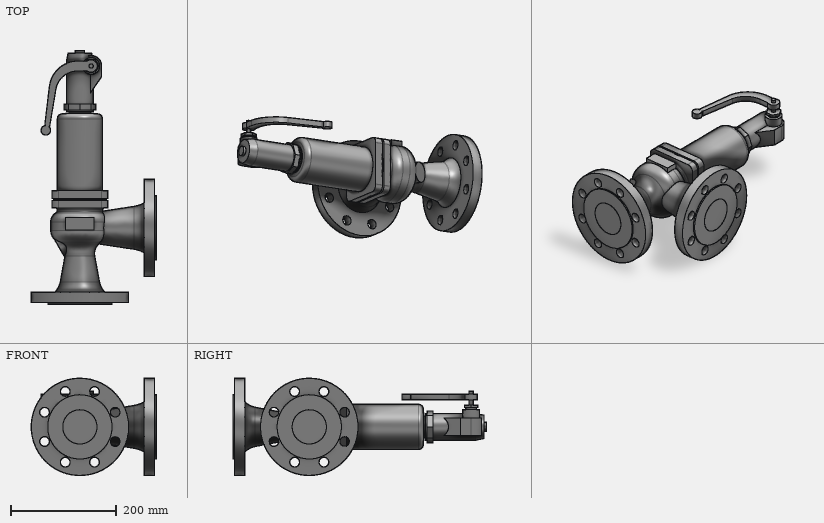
import cadquery as cq
import math


FACE_DISTANCE = 145.0
FLANGE_RADIUS = 92.5
FLANGE_THICKNESS = 20.0
RAISED_FACE_RADIUS = 61.0
RAISED_FACE_HEIGHT = 3.0
BOLT_COUNT = 8
BOLT_CIRCLE_RADIUS = 72.5
BOLT_HOLE_RADIUS = 9.0
FLANGE_BACK = FACE_DISTANCE - RAISED_FACE_HEIGHT - FLANGE_THICKNESS
PORT_RADIUS = 32.5
PORT_STEP = 0.2

FLARE_LENGTH = 19.5
FLARE_RADIUS = 47.5
FLARE_START = FLANGE_BACK - FLARE_LENGTH
INLET_CONE_ANGLE = math.radians(10.4)
THROAT_RADIUS = 28.0
THROAT_POSITION = 49.0
OUTLET_FLARE_START_RADIUS = 40.8
OUTLET_ROOT_RADIUS = 25.3

BODY_RADIUS = 55.5
BODY_BAND_TOP = 11.0
BODY_BAND_BOTTOM = -4.6
BODY_TOP = 28.5
BODY_SHOULDER_RADIUS = 45.5
COLLAR_RADIUS = 43.7
COLLAR_BOTTOM = 31.4
COLLAR_FILLET = 2.8

SHOULDER_DEPTH = BODY_BAND_BOTTOM + THROAT_POSITION
SHOULDER_STEP = BODY_RADIUS - THROAT_RADIUS
SHOULDER_ARC_RADIUS = (SHOULDER_DEPTH ** 2 + SHOULDER_STEP ** 2) / (4 * SHOULDER_STEP)

INLET_NECK_START = THROAT_POSITION + SHOULDER_ARC_RADIUS * math.sin(INLET_CONE_ANGLE)
INLET_NECK_RADIUS = THROAT_RADIUS + SHOULDER_ARC_RADIUS * (1 - math.cos(INLET_CONE_ANGLE))
INLET_FLARE_START_RADIUS = INLET_NECK_RADIUS + (FLARE_START - INLET_NECK_START) * math.tan(INLET_CONE_ANGLE)

SQUARE_SIDE = 106.5
SQUARE_CORNER_RADIUS = 12.5
LOWER_SQUARE_BOTTOM = 38.0
LOWER_SQUARE_TOP = 52.0
UPPER_SQUARE_BOTTOM = 55.5
UPPER_SQUARE_TOP = 70.5
GASKET_RADIUS = 48.0
GASKET_SEAT_RADIUS = 50.5
GASKET_SEAT_TOP = 53.7

BONNET_RADIUS = 43.0
BONNET_TOP = 216.5
BONNET_EDGE_RADIUS = 9.7
BONNET_RIM_RADIUS = 26.0
BONNET_RIM_TOP = 218.0
SPINDLE_NECK_RADIUS = 21.0

CAP_RADIUS = 25.7
CAP_BOTTOM = 220.5
NUT_BOTTOM = 223.7
NUT_TOP = 234.8
NUT_SIDES = 8
NUT_CORNER_RADIUS = 30.4
CAP_TAPER_START = 315.3
CAP_TOP = 331.5
CAP_TOP_RADIUS = 22.4
BUTTON_RADIUS = 9.0
OVERALL_TOP = 336.5

PIVOT_X = 21.4
PIVOT_Y = 307.0
BRACKET_RADIUS = 20.0
BRACKET_HALF_HEIGHT = 16.5
BRACKET_INNER_X = 19.5
BRACKET_STRAIGHT_END_Y = 286.7
BRACKET_POINT_Y = 255.3
BEARING_RADIUS = 16.2
BEARING_TOP = 32.7
GLAND_RADIUS = 10.6
GLAND_NUT_CORNER_RADIUS = 14.8
GLAND_NUT_BOTTOM = 36.6
GLAND_NUT_TOP = 41.4
HEXAGON_SIDES = 6
SHAFT_RADIUS = 4.1
SHAFT_TOP = 67.8

LEVER_BOTTOM = 51.2
LEVER_TOP = 62.0
LEVER_HALF_WIDTH = 9.4
LEVER_HUB_RADIUS = 11.8
LEVER_BEND_START_X = -4.0
LEVER_OUTER_BEND_END = (-58.0, 268.0)
LEVER_INNER_BEND_END = (-45.0, 265.0)
LEVER_OUTER_TIP = (-66.5, 197.5)
LEVER_INNER_TIP = (-57.0, 193.0)
LEVER_KNOB_CENTRE = (-64.6, 185.0)
LEVER_KNOB_RADIUS = 9.2

DRAIN_RADIUS = 19.6
DRAIN_ANGLE = math.radians(30)
DRAIN_FACE_CENTRE = (-40.2, -36.0, 0)
DRAIN_LENGTH = 38.0

PAD_WIDTH = 54.0
PAD_Y_MIN = -4.0
PAD_Y_MAX = 20.0
PAD_BOTTOM = 40.0
PAD_TOP = 59.0


def rod(radius, start, end):
    """Cylinder on the Y axis between two Y positions."""
    return cq.Workplane("XZ", origin=(0, start, 0)).circle(radius).extrude(start - end)


def post(radius, bottom, top):
    """Cylinder on the lever pivot axis between two Z positions."""
    return cq.Workplane("XY", origin=(PIVOT_X, PIVOT_Y, bottom)).circle(radius).extrude(top - bottom)


def pipe_end(root_position, root_radius, flare_start_radius):
    """Cone, flare and drilled flange along -Y, measured from the origin."""
    neck = (
        cq.Workplane("XY")
        .moveTo(0, -root_position)
        .lineTo(root_radius, -root_position)
        .lineTo(flare_start_radius, -FLARE_START)
        .tangentArcPoint((FLARE_RADIUS, -FLANGE_BACK), relative=False)
        .lineTo(0, -FLANGE_BACK)
        .close()
        .revolve(360, (0, 0, 0), (0, 1, 0))
    )
    flange = rod(FLANGE_RADIUS, -FLANGE_BACK, -FLANGE_BACK - FLANGE_THICKNESS)
    bolt_holes = (
        cq.Workplane("XZ", origin=(0, -FLANGE_BACK, 0))
        .polarArray(BOLT_CIRCLE_RADIUS, 180 / BOLT_COUNT, 360, BOLT_COUNT)
        .circle(BOLT_HOLE_RADIUS)
        .extrude(FLANGE_THICKNESS)
    )
    raised_face = rod(RAISED_FACE_RADIUS, -FLANGE_BACK, -FACE_DISTANCE)
    port = rod(PORT_RADIUS, -FACE_DISTANCE + PORT_STEP, -FACE_DISTANCE)
    return neck.union(flange.cut(bolt_holes)).union(raised_face).cut(port)


def tangent_arc_radius(rise, run):
    """Radius of an arc that starts along 'rise' and ends displaced sideways by 'run'."""
    return (rise ** 2 + run ** 2) / (2 * run)


def valve_body():
    """Body of revolution from the inlet neck up to the lower square flange."""
    shoulder_middle = ((BODY_RADIUS + THROAT_RADIUS) / 2, (BODY_BAND_BOTTOM - THROAT_POSITION) / 2)
    return (
        cq.Workplane("XY")
        .moveTo(0, LOWER_SQUARE_BOTTOM)
        .lineTo(COLLAR_RADIUS + COLLAR_FILLET, LOWER_SQUARE_BOTTOM)
        .radiusArc((COLLAR_RADIUS, LOWER_SQUARE_BOTTOM - COLLAR_FILLET), -COLLAR_FILLET)
        .lineTo(COLLAR_RADIUS, COLLAR_BOTTOM)
        .tangentArcPoint((BODY_SHOULDER_RADIUS, BODY_TOP), relative=False)
        .radiusArc(
            (BODY_RADIUS, BODY_BAND_TOP),
            tangent_arc_radius(BODY_TOP - BODY_BAND_TOP, BODY_RADIUS - BODY_SHOULDER_RADIUS),
        )
        .lineTo(BODY_RADIUS, BODY_BAND_BOTTOM)
        .radiusArc(shoulder_middle, SHOULDER_ARC_RADIUS)
        .radiusArc((INLET_NECK_RADIUS, -INLET_NECK_START), -SHOULDER_ARC_RADIUS)
        .lineTo(0, -INLET_NECK_START)
        .close()
        .revolve(360, (0, 0, 0), (0, 1, 0))
    )


def square_flange(bottom, top):
    return (
        cq.Workplane("XZ", origin=(0, bottom, 0))
        .rect(SQUARE_SIDE, SQUARE_SIDE)
        .extrude(bottom - top)
        .edges("|Y")
        .fillet(SQUARE_CORNER_RADIUS)
    )


def bonnet():
    lower_flange = square_flange(LOWER_SQUARE_BOTTOM, LOWER_SQUARE_TOP)
    gasket_seat = rod(GASKET_SEAT_RADIUS, LOWER_SQUARE_TOP, GASKET_SEAT_TOP)
    gasket = rod(GASKET_RADIUS, GASKET_SEAT_TOP, UPPER_SQUARE_BOTTOM)
    upper_flange = square_flange(UPPER_SQUARE_BOTTOM, UPPER_SQUARE_TOP)
    barrel = rod(BONNET_RADIUS, UPPER_SQUARE_TOP, BONNET_TOP).faces(">Y").edges().fillet(BONNET_EDGE_RADIUS)
    rim = rod(BONNET_RIM_RADIUS, BONNET_TOP, BONNET_RIM_TOP)
    spindle_neck = rod(SPINDLE_NECK_RADIUS, BONNET_RIM_TOP, CAP_BOTTOM)
    stack = lower_flange
    for piece in (gasket_seat, gasket, upper_flange, barrel, rim, spindle_neck):
        stack = stack.union(piece)
    return stack


def cap():
    sleeve = rod(CAP_RADIUS, CAP_BOTTOM, CAP_TAPER_START)
    taper = (
        cq.Workplane("XZ", origin=(0, CAP_TAPER_START, 0))
        .circle(CAP_RADIUS)
        .workplane(offset=CAP_TAPER_START - CAP_TOP)
        .circle(CAP_TOP_RADIUS)
        .loft()
    )
    nut = (
        cq.Workplane("XZ", origin=(0, NUT_BOTTOM, 0))
        .polygon(NUT_SIDES, 2 * NUT_CORNER_RADIUS)
        .extrude(NUT_BOTTOM - NUT_TOP)
    )
    button = rod(BUTTON_RADIUS, CAP_TOP, OVERALL_TOP)
    return sleeve.union(taper).union(nut).union(button)


def lever_bearing():
    """Bracket beside the cap carrying the bearing, gland nut and lever shaft."""
    bracket_side_x = PIVOT_X + BRACKET_RADIUS
    arc_middle = BRACKET_RADIUS * math.sqrt(0.5)
    bracket = (
        cq.Workplane("XY", origin=(0, 0, -BRACKET_HALF_HEIGHT))
        .moveTo(BRACKET_INNER_X, BRACKET_POINT_Y)
        .lineTo(bracket_side_x, BRACKET_STRAIGHT_END_Y)
        .lineTo(bracket_side_x, PIVOT_Y)
        .threePointArc(
            (PIVOT_X + arc_middle, PIVOT_Y + arc_middle), (PIVOT_X, PIVOT_Y + BRACKET_RADIUS)
        )
        .lineTo(0, PIVOT_Y + BRACKET_RADIUS)
        .lineTo(0, BRACKET_POINT_Y)
        .close()
        .extrude(2 * BRACKET_HALF_HEIGHT)
    )
    bearing = post(BEARING_RADIUS, 0, BEARING_TOP)
    gland = post(GLAND_RADIUS, BEARING_TOP, GLAND_NUT_BOTTOM)
    gland_nut = (
        cq.Workplane("XY", origin=(PIVOT_X, PIVOT_Y, GLAND_NUT_BOTTOM))
        .polygon(HEXAGON_SIDES, 2 * GLAND_NUT_CORNER_RADIUS)
        .extrude(GLAND_NUT_TOP - GLAND_NUT_BOTTOM)
    )
    shaft = post(SHAFT_RADIUS, GLAND_NUT_TOP, SHAFT_TOP)
    return bracket.union(bearing).union(gland).union(gland_nut).union(shaft)


def lever():
    """Bent arm with a hub on the shaft and a round knob at its free end."""
    outer_y = PIVOT_Y + LEVER_HALF_WIDTH
    inner_y = PIVOT_Y - LEVER_HALF_WIDTH
    outer_bend_x, outer_bend_y = LEVER_OUTER_BEND_END
    inner_bend_x, inner_bend_y = LEVER_INNER_BEND_END
    outer_bend = tangent_arc_radius(LEVER_BEND_START_X - outer_bend_x, outer_y - outer_bend_y)
    inner_bend = tangent_arc_radius(LEVER_BEND_START_X - inner_bend_x, inner_y - inner_bend_y)
    thickness = LEVER_TOP - LEVER_BOTTOM
    arm = (
        cq.Workplane("XY", origin=(0, 0, LEVER_BOTTOM))
        .moveTo(PIVOT_X, outer_y)
        .lineTo(LEVER_BEND_START_X, outer_y)
        .radiusArc(LEVER_OUTER_BEND_END, -outer_bend)
        .lineTo(*LEVER_OUTER_TIP)
        .lineTo(*LEVER_KNOB_CENTRE)
        .lineTo(*LEVER_INNER_TIP)
        .lineTo(*LEVER_INNER_BEND_END)
        .radiusArc((LEVER_BEND_START_X, inner_y), inner_bend)
        .lineTo(PIVOT_X, inner_y)
        .close()
        .extrude(thickness)
    )
    knob = (
        cq.Workplane("XY", origin=(0, 0, LEVER_BOTTOM))
        .center(*LEVER_KNOB_CENTRE)
        .circle(LEVER_KNOB_RADIUS)
        .extrude(thickness)
    )
    hub = post(LEVER_HUB_RADIUS, LEVER_BOTTOM, LEVER_TOP)
    return arm.union(knob).union(hub)


def drain_boss():
    inward = (math.cos(DRAIN_ANGLE), math.sin(DRAIN_ANGLE), 0)
    face = cq.Plane(origin=DRAIN_FACE_CENTRE, xDir=(0, 0, 1), normal=inward)
    return cq.Workplane(face).circle(DRAIN_RADIUS).extrude(DRAIN_LENGTH)


def plate_pad():
    return cq.Workplane("XY").box(
        PAD_WIDTH, PAD_Y_MAX - PAD_Y_MIN, PAD_TOP - PAD_BOTTOM, centered=(True, False, False)
    ).translate((0, PAD_Y_MIN, PAD_BOTTOM))


inlet = pipe_end(INLET_NECK_START, INLET_NECK_RADIUS, INLET_FLARE_START_RADIUS)
outlet = pipe_end(0, OUTLET_ROOT_RADIUS, OUTLET_FLARE_START_RADIUS).rotate((0, 0, 0), (0, 0, 1), 90)

result = valve_body()
for piece in (inlet, outlet, drain_boss(), plate_pad(), bonnet(), cap(), lever_bearing(), lever()):
    result = result.union(piece)